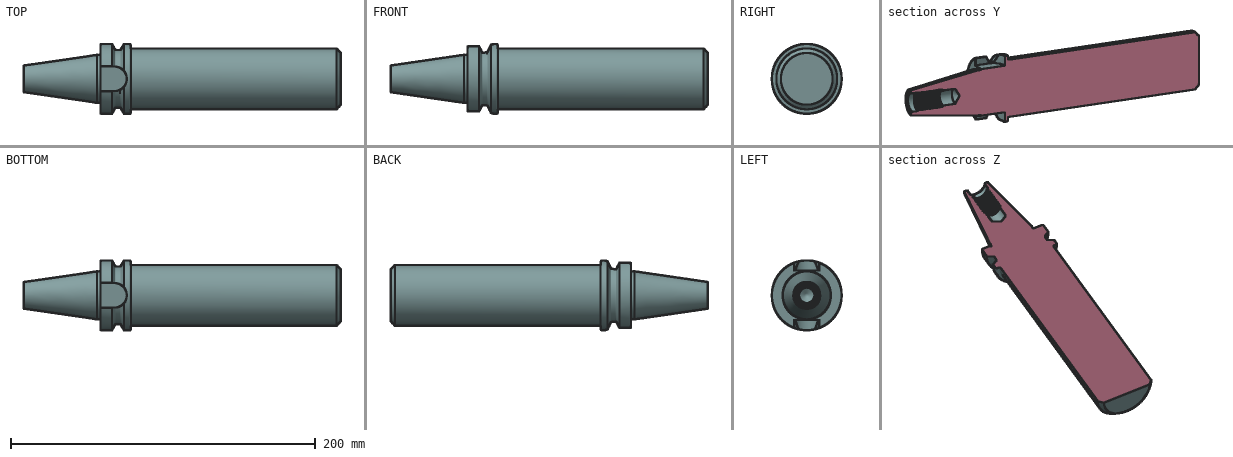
import cadquery as cq
import math

total_length = 208.4

gauge_diameter = 31.75
taper_length = 48.4
taper_ratio = 7 / 24
tip_chamfer = 0.4

relief_width = 2.0
relief_depth = 0.15
relief_wall_run = 0.7

flange_diameter = 46.0
flange_width = 20.0
flange_edge_radius = 1.0
groove_diameter = 38.0
groove_center_from_gauge = 13.6
groove_half_angle = math.radians(30)
groove_half_opening = 4.0
groove_fillet = 0.5

body_diameter = 40.0
body_chamfer = 3.0
body_root_fillet = 0.6

slot_width = 16.1
slot_floor_height = 16.3
slot_length = 17.4
slot_edge_chamfer = 0.4

bore_entry_diameter = 12.5
bore_entry_chamfer = 0.8
bore_entry_depth = 5.0
bore_diameter = 10.1
bore_depth = 32.0
thread_diameter = 12.0
thread_pitch = 1.75
thread_crest_flat = thread_pitch / 4
thread_root_flat = thread_pitch / 8
thread_flank_angle = math.radians(30)
thread_turns = 10
drill_half_angle = math.radians(59)

gauge_radius = gauge_diameter / 2
tip_radius = gauge_radius - taper_length * taper_ratio / 2
flange_radius = flange_diameter / 2
groove_radius = groove_diameter / 2
body_radius = body_diameter / 2
flange_front = taper_length + relief_width
flange_back = flange_front + flange_width
groove_center = taper_length + groove_center_from_gauge
groove_half_floor = groove_half_opening - (flange_radius - groove_radius) * math.tan(groove_half_angle)
slot_half_width = slot_width / 2


def revolve_about_x(points):
    """Turn a closed (x, radius) outline about the X axis."""
    return cq.Workplane("XZ").polyline(points).close().revolve(360, (0, 0, 0), (1, 0, 0))


def fillet_circles(solid, x, radius, fillet):
    """Round the full-circle edges centred on the X axis at the given place and radius."""
    reach = 0.01
    box = cq.selectors.BoxSelector(
        (x - reach, -radius - reach, -radius - reach),
        (x + reach, radius + reach, radius + reach),
        boundingbox=True,
    )
    inner_box = cq.selectors.BoxSelector(
        (x - reach, -radius + reach, -radius + reach),
        (x + reach, radius - reach, radius - reach),
        boundingbox=True,
    )
    return solid.edges(box - inner_box).fillet(fillet)


def make_holder():
    """Taper, V-grooved flange and cylindrical body as one turned solid."""
    holder = revolve_about_x([
        (0, 0),
        (0, tip_radius - tip_chamfer),
        (tip_chamfer, tip_radius + tip_chamfer * taper_ratio / 2),
        (taper_length, gauge_radius),
        (taper_length + relief_wall_run, gauge_radius - relief_depth),
        (flange_front - relief_wall_run, gauge_radius - relief_depth),
        (flange_front, gauge_radius),
        (flange_front, flange_radius),
        (groove_center - groove_half_opening, flange_radius),
        (groove_center - groove_half_floor, groove_radius),
        (groove_center + groove_half_floor, groove_radius),
        (groove_center + groove_half_opening, flange_radius),
        (flange_back, flange_radius),
        (flange_back, body_radius),
        (total_length - body_chamfer, body_radius),
        (total_length, body_radius - body_chamfer),
        (total_length, 0),
    ])
    for x in (flange_front, flange_back):
        holder = fillet_circles(holder, x, flange_radius, flange_edge_radius)
    for x in (groove_center - groove_half_floor, groove_center + groove_half_floor):
        holder = fillet_circles(holder, x, groove_radius, groove_fillet)
    return fillet_circles(holder, flange_back, body_radius, body_root_fillet)


def thread_groove(start):
    """Points of one ring groove of the thread, following a crest flat that begins at start."""
    crest_radius = bore_diameter / 2
    root_radius = thread_diameter / 2
    flank_run = (thread_pitch - thread_crest_flat - thread_root_flat) / 2
    groove_start = start + thread_crest_flat
    return [
        (groove_start, crest_radius),
        (groove_start + flank_run, root_radius),
        (groove_start + flank_run + thread_root_flat, root_radius),
        (start + thread_pitch, crest_radius),
    ]


def make_bore():
    """Stepped blind bore in the small end, with a conical bottom."""
    entry_radius = bore_entry_diameter / 2
    bore_radius = bore_diameter / 2
    step_end = bore_entry_depth + (entry_radius - bore_radius) * math.tan(thread_flank_angle)
    drill_tip = bore_radius / math.tan(drill_half_angle)
    outline = [
        (0, 0),
        (0, entry_radius + bore_entry_chamfer),
        (bore_entry_chamfer, entry_radius),
        (bore_entry_depth, entry_radius),
        (step_end, bore_radius),
    ]
    for turn in range(thread_turns):
        outline += thread_groove(step_end + turn * thread_pitch)
    outline += [
        (bore_depth, bore_radius),
        (bore_depth + drill_tip, 0),
    ]
    return revolve_about_x(outline)


def make_drive_slot():
    """Round-ended key slot through the top of the flange."""
    round_center = flange_front + slot_length - slot_half_width
    return (
        cq.Workplane("XY", origin=(0, 0, slot_floor_height))
        .moveTo(flange_front, -slot_half_width)
        .lineTo(round_center, -slot_half_width)
        .threePointArc((round_center + slot_half_width, 0), (round_center, slot_half_width))
        .lineTo(flange_front, slot_half_width)
        .close()
        .extrude(flange_radius)
    )


def make_slot_front_bevel():
    """Wedge that bevels the side edges of the top slot on the front face of the flange."""
    wide = slot_half_width + slot_edge_chamfer
    bevel_end = flange_front + slot_edge_chamfer
    return (
        cq.Workplane("XY", origin=(0, 0, slot_floor_height))
        .polyline([
            (flange_front, -wide),
            (bevel_end, -slot_half_width),
            (bevel_end, slot_half_width),
            (flange_front, wide),
        ])
        .close()
        .extrude(flange_radius)
    )


def make_slot_rim_bevel():
    """Wedge that bevels the side edges of the top slot along the rim of the front flange ring."""
    rim_height = math.sqrt(flange_radius**2 - slot_half_width**2)
    bevel_bottom = rim_height - slot_edge_chamfer
    rise = flange_radius - bevel_bottom
    return (
        cq.Workplane("YZ", origin=(flange_front, 0, 0))
        .polyline([
            (-slot_half_width, bevel_bottom),
            (slot_half_width, bevel_bottom),
            (slot_half_width + rise, flange_radius),
            (-slot_half_width - rise, flange_radius),
        ])
        .close()
        .extrude(groove_center - flange_front)
    )


result = make_holder().cut(make_bore())
for cutter in (make_drive_slot(), make_slot_front_bevel(), make_slot_rim_bevel()):
    result = result.cut(cutter).cut(cutter.mirror("XY"))